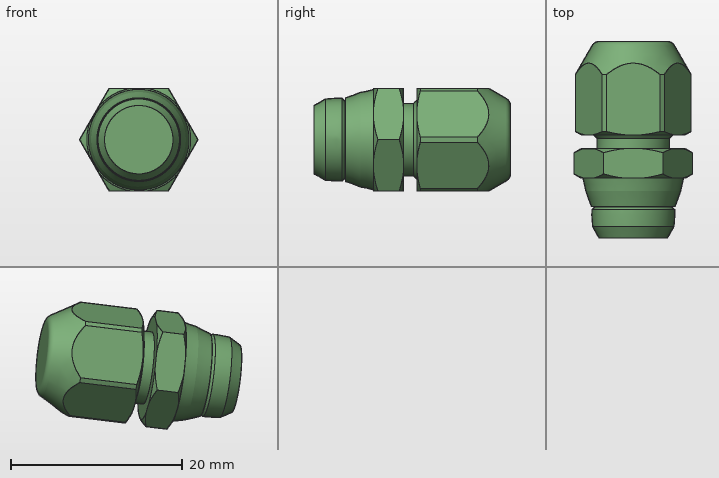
import cadquery as cq
import math

total_length = 23.0
across_flats = 12.0
flat_radius = across_flats / 2
corner_radius = flat_radius / math.cos(math.radians(30))
bevel_tan = math.tan(math.radians(30))

tip_radius = 4.0
crown_start, crown_start_radius = 1.33, 4.75
crown_end, crown_end_radius = 3.31, 4.85
crown_radius = 4.85
ferrule_end, ferrule_end_radius = 3.63, 4.5

nose_start, nose_start_radius = 3.68, 4.9
nose_middle, nose_middle_radius = 5.45, 5.55
nose_end_radius = 5.89

body_start = 7.0
body_end = 10.46
body_bevel_radius = 6.07
neck_radius = 4.25
neck_end = 11.65
nut_start = 12.03
nut_radius = 6.76
nut_cone_length = 2.55
nut_rim_fillet = 1.0
nut_front_bevel = 0.41


def revolve_profile(profile):
    """Turn a closed (radius, Y) profile around the Y axis."""
    return profile.close().revolve(360, (0, 0, 0), (0, 1, 0))


def hex_prism(start, end):
    """Hexagonal bar along Y with flats facing +Z and -Z."""
    return (
        cq.Workplane("XZ", origin=(0, start, 0))
        .polygon(6, 2 * corner_radius)
        .extrude(start - end)
    )


def make_nose():
    profile = (
        cq.Workplane("XY")
        .lineTo(tip_radius, 0)
        .lineTo(crown_start_radius, crown_start)
        .threePointArc(
            (crown_radius, (crown_start + crown_end) / 2),
            (crown_end_radius, crown_end),
        )
        .lineTo(ferrule_end_radius, ferrule_end)
        .lineTo(ferrule_end_radius, nose_start)
        .lineTo(nose_start_radius, nose_start)
        .lineTo(nose_middle_radius, nose_middle)
        .lineTo(nose_end_radius, body_start)
        .lineTo(0, body_start)
    )
    return revolve_profile(profile)


def make_body_hexagon():
    bevel_length = (corner_radius - body_bevel_radius) * bevel_tan
    envelope = (
        cq.Workplane("XY")
        .moveTo(0, body_start)
        .lineTo(body_bevel_radius, body_start)
        .lineTo(corner_radius, body_start + bevel_length)
        .lineTo(corner_radius, body_end - bevel_length)
        .lineTo(body_bevel_radius, body_end)
        .lineTo(0, body_end)
    )
    return hex_prism(body_start, body_end).intersect(revolve_profile(envelope))


def make_neck():
    flare_radius = neck_radius + nut_start - neck_end
    profile = (
        cq.Workplane("XY")
        .moveTo(0, body_end)
        .lineTo(neck_radius, body_end)
        .lineTo(neck_radius, neck_end)
        .lineTo(flare_radius, nut_start)
        .lineTo(0, nut_start)
    )
    return revolve_profile(profile)


def make_nut():
    cone_start = total_length - nut_cone_length - (nut_radius - flat_radius) / bevel_tan
    back_radius = flat_radius - nut_cone_length * bevel_tan
    envelope = (
        cq.Workplane("XY")
        .moveTo(0, nut_start)
        .lineTo(flat_radius, nut_start)
        .lineTo(nut_radius, nut_start + nut_front_bevel)
        .lineTo(nut_radius, cone_start)
        .lineTo(back_radius, total_length)
        .lineTo(0, total_length)
    )
    turned = revolve_profile(envelope).faces(">Y").edges().fillet(nut_rim_fillet)
    return hex_prism(nut_start, total_length).intersect(turned)


result = make_nose().union(make_body_hexagon()).union(make_neck()).union(make_nut())